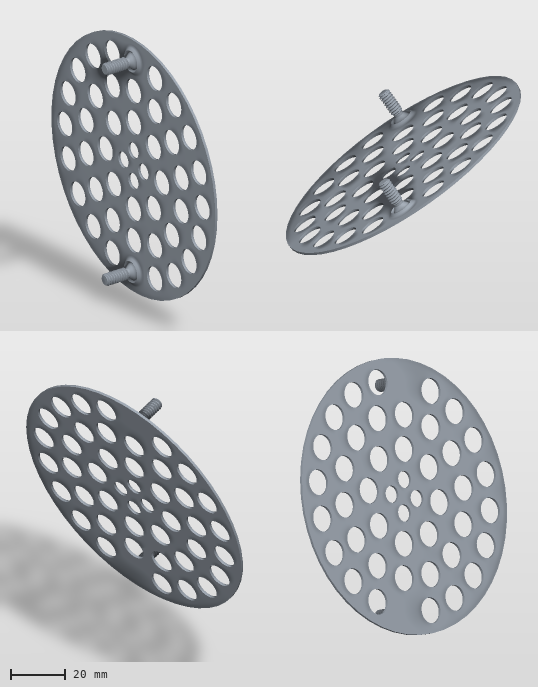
import cadquery as cq
import math

disc_diameter = 102.0
disc_thickness = 1.0
hole_diameter = 9.5
centre_hole_diameter = 6.3

centre_ring_radius = 6.2
centre_ring_count = 4
inner_ring_radius = 17.5
inner_ring_count = 8
middle_ring_radius = 30.3
middle_ring_count = 14
outer_ring_radius = 42.7
outer_ring_count = 20

stud_length = 13.0
flange_radius = 6.0
foot_inner_radius = 5.1
flange_slope_angle = 44.0
rim_radius = 4.2
groove_radius = 3.4
groove_height = 0.5
neck_radius = 1.8
neck_start = 2.4

thread_start = 3.4
thread_radius = 4.8 / 2
thread_depth = 0.6
thread_root_radius = thread_radius - thread_depth
thread_pitch = 25.5 / 24
thread_crest_width = 0.12
thread_root_gap = 0.2
tip_chamfer = 0.6
ridge_lead_turns = 0.75
ridge_tail_turns = 0.6
ridge_embedding = 0.2
envelope_clearance = 0.2


def ring_places(radius, count):
    """Centres on a ring, starting on the +Z axis."""
    step = 2 * math.pi / count
    return [(radius * math.sin(i * step), radius * math.cos(i * step)) for i in range(count)]


def cylinders_through_disc(places, diameter):
    return cq.Workplane("XZ").pushPoints(places).circle(diameter / 2).extrude(disc_thickness)


def make_disc():
    outer_places = ring_places(outer_ring_radius, outer_ring_count)
    del outer_places[outer_ring_count // 2]
    del outer_places[0]
    large_places = (
        ring_places(inner_ring_radius, inner_ring_count)
        + ring_places(middle_ring_radius, middle_ring_count)
        + outer_places
    )
    centre_places = ring_places(centre_ring_radius, centre_ring_count)
    disc = cq.Workplane("XZ").circle(disc_diameter / 2).extrude(disc_thickness)
    disc = disc.cut(cylinders_through_disc(large_places, hole_diameter))
    return disc.cut(cylinders_through_disc(centre_places, centre_hole_diameter))


def make_flange_and_neck():
    """Turned foot of the stud about local Z: sloped flange, V groove inside its rim, cone and neck."""
    slope = math.radians(flange_slope_angle)
    foot_arc_radius = (flange_radius - foot_inner_radius) / math.sin(slope)
    foot_middle = (
        flange_radius - foot_arc_radius * math.sin(slope / 2),
        foot_arc_radius * (1 - math.cos(slope / 2)),
    )
    foot_height = foot_arc_radius * (1 - math.cos(slope))
    rim_height = foot_height + (foot_inner_radius - rim_radius) * math.tan(slope)
    return (
        cq.Workplane("YZ")
        .moveTo(0, 0)
        .lineTo(flange_radius, 0)
        .threePointArc(foot_middle, (foot_inner_radius, foot_height))
        .lineTo(rim_radius, rim_height)
        .lineTo(groove_radius, groove_height)
        .lineTo(neck_radius, neck_start)
        .lineTo(neck_radius, thread_start)
        .lineTo(0, thread_start)
        .close()
        .revolve(360, (0, 0, 0), (0, 1, 0))
    )


def make_thread_ridge():
    """Right-handed helical ridge that runs past both ends of the threaded length."""
    start = thread_start - ridge_lead_turns * thread_pitch
    end = stud_length + ridge_tail_turns * thread_pitch
    helix = cq.Wire.makeHelix(thread_pitch, end - start, thread_root_radius, cq.Vector(0, 0, start))
    inner_radius = thread_root_radius - ridge_embedding
    half_root = (thread_pitch - thread_root_gap) / 2
    half_crest = thread_crest_width / 2
    return (
        cq.Workplane("XZ")
        .moveTo(inner_radius, start - half_root)
        .lineTo(thread_root_radius, start - half_root)
        .lineTo(thread_radius, start - half_crest)
        .lineTo(thread_radius, start + half_crest)
        .lineTo(thread_root_radius, start + half_root)
        .lineTo(inner_radius, start + half_root)
        .close()
        .sweep(cq.Workplane(obj=helix), isFrenet=True)
    )


def make_thread_envelope():
    """Chamfered cylinder that trims the ends of the thread; it is wider than the thread crest."""
    envelope_radius = thread_radius + envelope_clearance
    tip_radius = thread_radius - tip_chamfer
    return (
        cq.Workplane("YZ")
        .moveTo(0, thread_start)
        .lineTo(neck_radius, thread_start)
        .lineTo(envelope_radius, thread_start + envelope_radius - neck_radius)
        .lineTo(envelope_radius, stud_length - (envelope_radius - tip_radius))
        .lineTo(tip_radius, stud_length)
        .lineTo(0, stud_length)
        .close()
        .revolve(360, (0, 0, 0), (0, 1, 0))
    )


def make_threaded_section():
    core_length = stud_length - thread_start
    core = cq.Workplane("XY").workplane(offset=thread_start).circle(thread_root_radius).extrude(core_length)
    return core.union(make_thread_ridge()).intersect(make_thread_envelope())


def make_stud():
    """One stud at the disc centre, pointing towards -Y from the front face."""
    stud = make_flange_and_neck().union(make_threaded_section())
    return stud.rotate((0, 0, 0), (1, 0, 0), 90).translate((0, -disc_thickness, 0))


disc = make_disc()
centre_stud = make_stud()
studs = [centre_stud.translate((0, 0, side * outer_ring_radius)) for side in (1, -1)]

result = cq.Compound.makeCompound([disc.solids().val(), *[stud.solids().val() for stud in studs]])